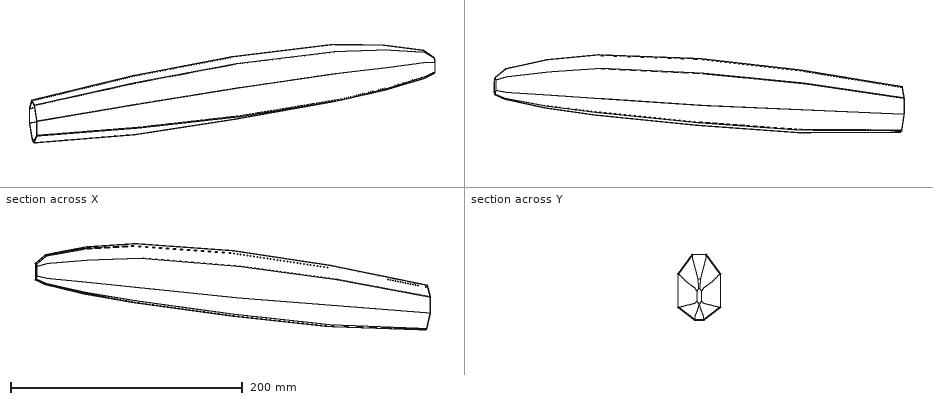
import cadquery as cq

WALL = 1.0

BEAM = 37.2

STATIONS = [
    (0.0, 11.5, 4.5, 2.5, 46.0, 33.5, 18.8, 6.5),
    (90.2, 17.0, 5.8, 4.0, 53.8, 38.5, 14.5, 0.0),
    (180.5, BEAM / 2, 6.0, 4.0, 57.5, 40.5, 11.2, 0.0),
    (270.8, 17.0, 6.0, 4.0, 54.0, 38.5, 11.2, 2.5),
    (316.0, 12.0, 4.5, 3.0, 47.0, 33.5, 12.5, 5.5),
    (352.0, 5.0, 1.8, 1.25, 37.0, 28.5, 14.5, 10.0),
    (361.0, 3.0, 1.0, 0.7, 28.5, 25.5, 16.2, 13.5),
]


def section(station, inset):
    """Eight-sided closed wire, symmetric about X = 0, moved inward by the inset."""
    y, side, top, bottom, top_z, shoulder_z, chine_z, bottom_z = station
    outline = [
        (top, top_z),
        (side, shoulder_z),
        (side, chine_z),
        (bottom, bottom_z),
        (-bottom, bottom_z),
        (-side, chine_z),
        (-side, shoulder_z),
        (-top, top_z),
    ]
    points = [cq.Vector(x, y, z) for x, z in outline]
    wire = cq.Wire.makePolygon(points, close=True)
    if inset == 0:
        return wire
    return wire.offset2D(-inset, "intersection")[0]


def hull(inset):
    """Closed body with straight-ruled stretches between neighbouring stations."""
    return cq.Workplane(cq.Solid.makeLoft([section(s, inset) for s in STATIONS], True))


cavity = hull(WALL).translate((0, -WALL, 0))
result = hull(0).cut(cavity)